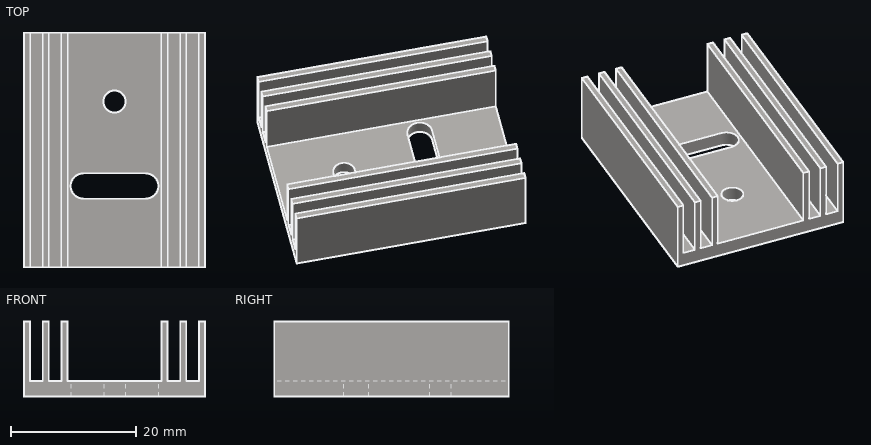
import cadquery as cq

width = 29.0
length = 37.5
height = 12.0

base_thickness = 2.5

fin_thickness = 1.0
fin_pitch = 3.0
fins_per_side = 3

hole_diameter = 3.5
hole_from_end = 26.5
slot_length = 14.0
slot_width = 4.0
slot_from_end = 13.0


def centred_block(block_width, block_height, x_centre):
    """Full-length block standing on the bottom plane, centred along Y."""
    block = cq.Workplane("XY").box(block_width, length, block_height, centered=(True, True, False))
    return block.translate((x_centre, 0, 0))


def add_fins(body):
    """Add the fins on both sides, with the outermost flush with the sides."""
    outer_fin_x = (width - fin_thickness) / 2
    for index in range(fins_per_side):
        fin_x = outer_fin_x - index * fin_pitch
        for side in (-1, 1):
            body = body.union(centred_block(fin_thickness, height, side * fin_x))
    return body


def cut_mounting_hole(body):
    """Cut the round screw hole through the base."""
    hole_y = hole_from_end - length / 2
    hole = cq.Workplane("XY").center(0, hole_y).circle(hole_diameter / 2).extrude(base_thickness)
    return body.cut(hole)


def cut_mounting_slot(body):
    """Cut the round-ended slot, running along X, through the base."""
    slot_y = slot_from_end - length / 2
    slot = cq.Workplane("XY").center(0, slot_y).slot2D(slot_length, slot_width).extrude(base_thickness)
    return body.cut(slot)


body = centred_block(width, base_thickness, 0)
body = add_fins(body)
body = cut_mounting_hole(body)
result = cut_mounting_slot(body)